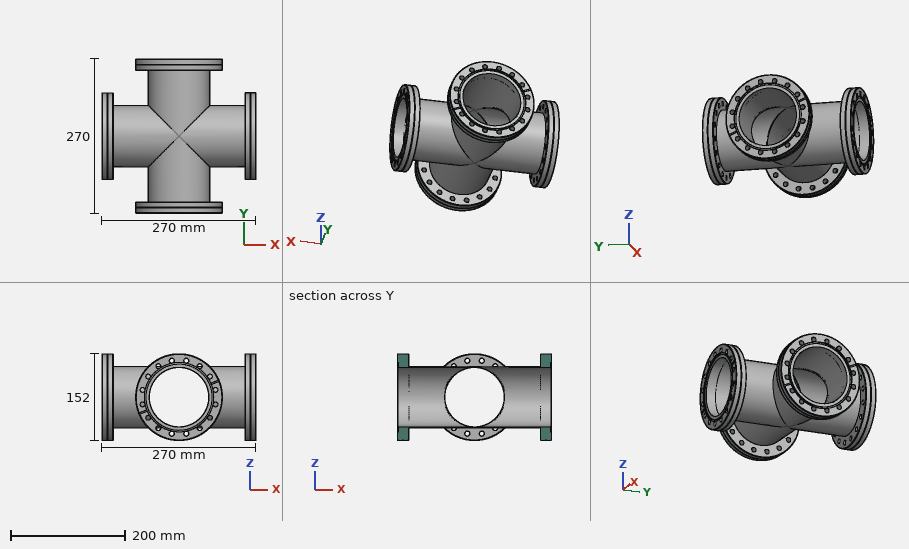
import cadquery as cq

OVERALL_LENGTH = 270.0
END_FACE = OVERALL_LENGTH / 2

TUBE_DIAMETER = 108.0
BORE_DIAMETER = 104.0

FLANGE_DIAMETER = 152.0
FLANGE_THICKNESS = 20.0
RIM_CHAMFER = 1.0

RIM_GROOVE_WIDTH = 1.5
RIM_GROOVE_DEPTH = 0.3

RECESS_DIAMETER = 121.5
RECESS_DEPTH = 2.0
KNIFE_EDGE_DIAMETER = 115.8
KNIFE_EDGE_DEPTH = 0.8
SEAT_DEPTH = 1.4

BOLT_COUNT = 16
BOLT_CIRCLE_DIAMETER = 130.1
BOLT_HOLE_DIAMETER = 8.5
BOLT_PITCH_ANGLE = 360 / BOLT_COUNT

LEAK_GROOVE_DIAMETER = 2.5
LEAK_GROOVE_ANGLE = BOLT_PITCH_ANGLE

FLANGE_RADIUS = FLANGE_DIAMETER / 2
FLANGE_BACK = END_FACE - FLANGE_THICKNESS
FLANGE_MIDDLE = END_FACE - FLANGE_THICKNESS / 2

ORIGIN = (0, 0, 0)
Y_AXIS = (0, 1, 0)
Z_AXIS = (0, 0, 1)

ARM_ANGLES = (0, 90, 180, 270)


def crossed_cylinders(diameter, reach):
    """Two equal cylinders crossing at the centre, along X and along Y."""
    along_x = cq.Workplane("YZ").circle(diameter / 2).extrude(reach, both=True)
    along_y = cq.Workplane("XZ").circle(diameter / 2).extrude(reach, both=True)
    return along_x.union(along_y)


def flange_body():
    """Flange ring with its rim and gasket recess, revolved about the Y axis."""
    recess = [
        (BORE_DIAMETER / 2, END_FACE - SEAT_DEPTH),
        (KNIFE_EDGE_DIAMETER / 2, END_FACE - SEAT_DEPTH),
        (KNIFE_EDGE_DIAMETER / 2, END_FACE - KNIFE_EDGE_DEPTH),
        (RECESS_DIAMETER / 2, END_FACE - RECESS_DEPTH),
        (RECESS_DIAMETER / 2, END_FACE),
    ]
    rim = [
        (FLANGE_RADIUS - RIM_CHAMFER, END_FACE),
        (FLANGE_RADIUS, END_FACE - RIM_CHAMFER),
        (FLANGE_RADIUS, FLANGE_MIDDLE + RIM_GROOVE_WIDTH / 2),
        (FLANGE_RADIUS - RIM_GROOVE_DEPTH, FLANGE_MIDDLE),
        (FLANGE_RADIUS, FLANGE_MIDDLE - RIM_GROOVE_WIDTH / 2),
        (FLANGE_RADIUS, FLANGE_BACK + RIM_CHAMFER),
        (FLANGE_RADIUS - RIM_CHAMFER, FLANGE_BACK),
    ]
    back = [(BORE_DIAMETER / 2, FLANGE_BACK)]
    outline = [(radius, -distance) for radius, distance in recess + rim + back]
    return cq.Workplane("XY").polyline(outline).close().revolve(360, ORIGIN, Y_AXIS)


def bolt_holes():
    """Ring of drills through the flange."""
    return (
        cq.Workplane("XZ", origin=(0, -FLANGE_BACK, 0))
        .polarArray(BOLT_CIRCLE_DIAMETER / 2, BOLT_PITCH_ANGLE / 2, 360, BOLT_COUNT)
        .circle(BOLT_HOLE_DIAMETER / 2)
        .extrude(FLANGE_THICKNESS)
    )


def leak_grooves():
    """Two opposite round cutters lying in the flange face."""
    start = RECESS_DIAMETER / 2
    cutter = (
        cq.Workplane("YZ", origin=(start, -END_FACE, 0))
        .circle(LEAK_GROOVE_DIAMETER / 2)
        .extrude(FLANGE_RADIUS - start)
    )
    cutter = cutter.rotate(ORIGIN, Y_AXIS, -LEAK_GROOVE_ANGLE)
    return cutter.union(cutter.rotate(ORIGIN, Y_AXIS, 180))


flange = flange_body().cut(bolt_holes()).cut(leak_grooves())

result = crossed_cylinders(TUBE_DIAMETER, FLANGE_MIDDLE)
for angle in ARM_ANGLES:
    result = result.union(flange.rotate(ORIGIN, Z_AXIS, angle))
result = result.cut(crossed_cylinders(BORE_DIAMETER, END_FACE))